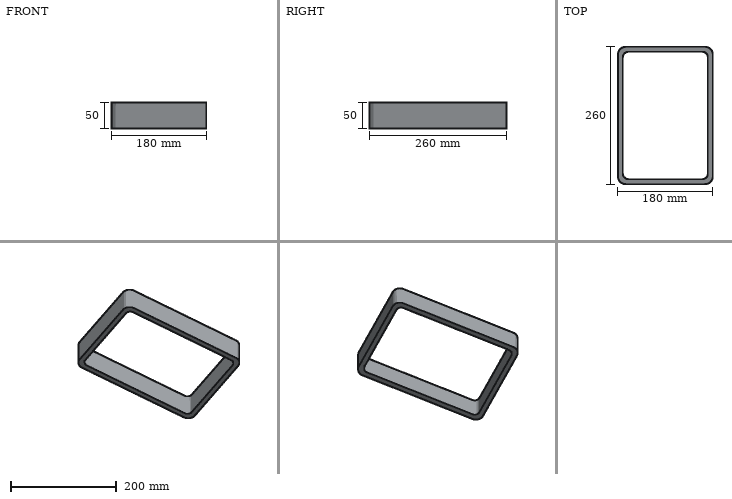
import cadquery as cq

length = 260.0
width = 180.0
height = 50.0
wall = 10.0
outer_corner_radius = 15.0
inner_corner_radius = 10.0


def rounded_block(size_x, size_y, corner_radius):
    """Block of the frame's height with rounded vertical edges."""
    block = cq.Workplane("XY").rect(size_x, size_y).extrude(height)
    return block.edges("|Z").fillet(corner_radius)


outer_block = rounded_block(width, length, outer_corner_radius)
opening = rounded_block(width - 2 * wall, length - 2 * wall, inner_corner_radius)

result = outer_block.cut(opening)